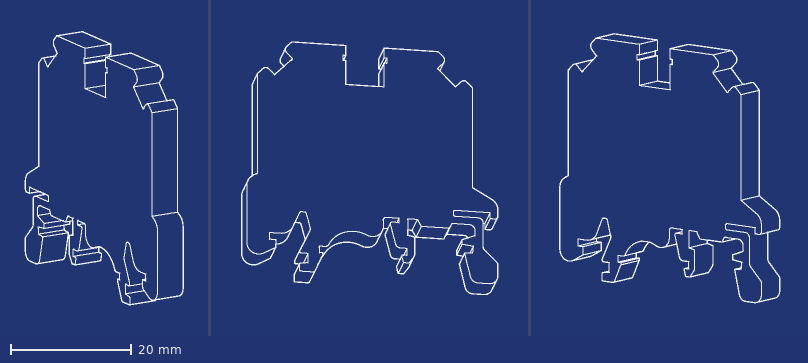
import cadquery as cq
import math

LENGTH = 42.5
HEIGHT = 41.0
THICKNESS = 5.0

BODY_WIDTH = 36.42
BODY_LEFT = 4.3
BODY_RIGHT = BODY_LEFT + BODY_WIDTH
BODY_CENTRE = BODY_LEFT + BODY_WIDTH / 2
SHOULDER_Z = 17.05
SHOULDER_SLOPE = math.tan(math.radians(30))
SHOULDER_ROUND = 2.05

RAIL_ROOF_Z = 10.65
LATCH_NOTCH_Z = 5.35

SLOT_FLOOR_Z = 11.7
ARM_LEFT = 2.5
LATCH_BAY_RIGHT = 19.4


def head_half():
    """Left half of the head, from the body wall to the middle slot; every slope is at 45 degrees."""
    wall_top = 34.95
    ear_run = 1.45
    ear_round = 0.65
    groove_flank = 3.05
    beak_run = 1.57
    beak_round = 0.85
    slot_half_width = 3.25
    slot_depth = 6.95
    nick_top = HEIGHT - 1.8
    nick_height = 0.9
    nick_depth = 0.45

    ear_x = BODY_LEFT + ear_run
    groove_x = ear_x + ear_run
    flank_top_x = groove_x + groove_flank
    flank_top_z = wall_top + groove_flank
    beak_x = flank_top_x - beak_run
    beak_z = flank_top_z + beak_run
    slot_x = BODY_CENTRE - slot_half_width
    nick_x = slot_x - nick_depth
    nick_bottom = nick_top - nick_height
    return [
        (BODY_LEFT, wall_top, 0),
        (ear_x, wall_top + ear_run, ear_round),
        (groove_x, wall_top, 0),
        (flank_top_x, flank_top_z, 0),
        (beak_x, beak_z, beak_round),
        (beak_x + HEIGHT - beak_z, HEIGHT, 0),
        (slot_x, HEIGHT, 0),
        (slot_x, nick_top, 0),
        (nick_x, nick_top, 0),
        (nick_x, nick_bottom, 0),
        (slot_x, nick_bottom, 0),
        (slot_x, HEIGHT - slot_depth, 0),
    ]


def mirrored(corners):
    """The corners reflected about the body centre line, in reverse order."""
    return [(2 * BODY_CENTRE - x, z, radius) for x, z, radius in reversed(corners)]


def right_hook():
    """Right shoulder, end wall and the hook that ends in an inward-facing lip."""
    toe_corner_z = 1.2
    toe_round = 1.9
    lip_x = 37.6
    lip_bottom = 3.95
    notch_x = 38.65
    notch_roof = 6.55
    gap_foot_x = 35.28
    gap_foot_round = 2.4

    shoulder_drop = (LENGTH - BODY_RIGHT) * SHOULDER_SLOPE
    return [
        (BODY_RIGHT, SHOULDER_Z, 0),
        (LENGTH, SHOULDER_Z - shoulder_drop, SHOULDER_ROUND),
        (LENGTH, toe_corner_z, toe_round),
        (lip_x, lip_bottom, 0),
        (lip_x, LATCH_NOTCH_Z, 0),
        (notch_x, LATCH_NOTCH_Z, 0),
        (notch_x, notch_roof, 0),
        (gap_foot_x, notch_roof, gap_foot_round),
    ]


def right_foot():
    """Tapered gap beside the right hook and the foot with a notch on each side."""
    gap_top_left = 32.5
    gap_top_right = 33.5
    gap_round = 0.3
    waist = (31.7, 7.6)
    waist_round = 1.05
    spur_x = 33.55
    spur_top = 3.8
    spur_bottom = 3.27
    spur_round = 0.15
    outer_notch_x = 32.15
    outer_notch_bottom = 1.6
    sole_right = 33.6
    sole_left = 31.05
    sole_right_round = 0.2
    sole_left_round = 0.42
    toe_top = 1.4
    inner_lip_x = 29.62
    inner_lip_bottom = 3.2
    inner_notch_x = 30.2
    inner_notch_bottom = 3.55
    inner_notch_top = 4.7
    arch_end_x = 28.85
    arch_end_round = 0.65
    return [
        (gap_top_right, RAIL_ROOF_Z, gap_round),
        (gap_top_left, RAIL_ROOF_Z, gap_round),
        (*waist, waist_round),
        (spur_x, spur_top, spur_round),
        (spur_x, spur_bottom, spur_round),
        (outer_notch_x, spur_bottom, 0),
        (outer_notch_x, outer_notch_bottom, 0),
        (sole_right, toe_top, sole_right_round),
        (sole_right, 0, sole_right_round),
        (sole_left, 0, sole_left_round),
        (inner_lip_x, inner_lip_bottom, 0),
        (inner_lip_x, inner_notch_bottom, 0),
        (inner_notch_x, inner_notch_bottom, 0),
        (inner_notch_x, inner_notch_top, 0),
        (arch_end_x, inner_notch_top, arch_end_round),
    ]


def arch_and_bulge():
    """Wide arch flowing in an S-curve into the round bulge beside the latch bay."""
    arch_corner = (26.55, 9.22)
    arch_round = 4.8
    bulge_corner_z = 6.0
    bulge_round = 1.95
    bay_round = 0.42
    return [
        (*arch_corner, arch_round),
        (LATCH_BAY_RIGHT, bulge_corner_z, bulge_round),
        (LATCH_BAY_RIGHT, RAIL_ROOF_Z, bay_round),
    ]


def middle_latch():
    """Hanging latch with a swept right side, a small hook at its tip and a stepped stem."""
    stem_left = 15.25
    stem_right = 16.75
    head_top = 9.9
    head_right = 18.3
    head_round = 0.35
    flank_bottom_x = 17.15
    flank_round = 0.85
    notch_x = 15.4
    hook_top = 4.12
    hook_right = 16.35
    hook_round = 0.2
    tip_z = 2.75
    tip_right = 16.0
    tip_left = 15.05
    tip_round = 0.2
    back_x = 14.05
    back_bottom = 4.15
    back_bottom_round = 0.85
    back_top = 7.5
    back_top_round = 0.13
    stem_step_z = 7.75
    return [
        (stem_right, RAIL_ROOF_Z, 0),
        (stem_right, head_top, 0),
        (head_right, head_top, head_round),
        (flank_bottom_x, LATCH_NOTCH_Z, flank_round),
        (notch_x, LATCH_NOTCH_Z, 0),
        (notch_x, hook_top, 0),
        (hook_right, hook_top, hook_round),
        (tip_right, tip_z, 0),
        (tip_left, tip_z, tip_round),
        (back_x, back_bottom, back_bottom_round),
        (back_x, back_top, back_top_round),
        (stem_left, stem_step_z, 0),
        (stem_left, RAIL_ROOF_Z, 0),
    ]


def left_foot():
    """Raised pad, then the springy arm with its tooth and the large left foot."""
    pad_z = 9.48
    pad_right_top = 13.65
    pad_right = 12.95
    pad_left = 8.3
    pad_left_top = 7.78
    arm_roof = 10.35
    arm_right = 3.85
    arm_inner_round = 1.0
    tooth_root_top = 8.45
    tooth_x = 6.08
    tooth_top = 7.6
    tooth_bottom = 6.75
    notch_top = (4.15, 6.55)
    notch_bottom = (4.3, 5.35)
    foot_shelf = (5.65, 5.2)
    sole_right = 4.4
    sole_right_round = 1.35
    sole_left_round = 1.5
    heel_top = 3.75
    heel_round = 0.42
    ankle_z = 6.25
    ankle_round = 0.85
    arm_outer_round = 0.85
    return [
        (pad_right_top, RAIL_ROOF_Z, 0),
        (pad_right, pad_z, 0),
        (pad_left, pad_z, 0),
        (pad_left_top, arm_roof, 0),
        (arm_right, arm_roof, arm_inner_round),
        (arm_right, tooth_root_top, 0),
        (tooth_x, tooth_top, 0),
        (tooth_x, tooth_bottom, 0),
        (*notch_top, 0),
        (*notch_bottom, 0),
        (*foot_shelf, 0),
        (sole_right, 0, sole_right_round),
        (0, 0, sole_left_round),
        (0, heel_top, heel_round),
        (ARM_LEFT, ankle_z, ankle_round),
        (ARM_LEFT, SLOT_FLOOR_Z, arm_outer_round),
    ]


def left_shoulder():
    """Thin slot above the arm and the drooping left shoulder."""
    slot_end = 7.52
    slot_roof = 12.75
    slot_round = 0.3
    lip_right = 1.3
    lip_round = 0.5

    shoulder_drop = BODY_LEFT * SHOULDER_SLOPE
    return [
        (slot_end, SLOT_FLOOR_Z, slot_round),
        (slot_end, slot_roof, slot_round),
        (lip_right, slot_roof, 0),
        (lip_right, SLOT_FLOOR_Z, 0),
        (0, SLOT_FLOOR_Z, lip_round),
        (0, SHOULDER_Z - shoulder_drop, SHOULDER_ROUND),
        (BODY_LEFT, SHOULDER_Z, 0),
    ]


def rounded_corner(before, corner, after):
    """Start, middle and end of the arc that rounds a corner; a sharp corner gives its one point."""
    x, z, radius = corner
    point = cq.Vector(x, z)
    if radius == 0:
        return [point]
    towards_before = (cq.Vector(before[0], before[1]) - point).normalized()
    towards_after = (cq.Vector(after[0], after[1]) - point).normalized()
    half_angle = towards_before.getAngle(towards_after) / 2
    tangent_length = radius / math.tan(half_angle)
    bisector = (towards_before + towards_after).normalized()
    middle_distance = radius / math.sin(half_angle) - radius
    return [
        point + towards_before * tangent_length,
        point + bisector * middle_distance,
        point + towards_after * tangent_length,
    ]


def extruded_profile(corners):
    """Closed outline of (x, z, radius) corners, extruded to the full thickness."""
    count = len(corners)
    bends = [
        rounded_corner(corners[i - 1], corners[i], corners[(i + 1) % count])
        for i in range(count)
    ]
    outline = cq.Workplane("XZ").moveTo(bends[0][0].x, bends[0][0].y)
    for i, bend in enumerate(bends):
        if i > 0:
            outline = outline.lineTo(bend[0].x, bend[0].y)
        if len(bend) > 1:
            outline = outline.threePointArc(bend[1].toTuple()[:2], bend[2].toTuple()[:2])
    return outline.close().extrude(THICKNESS / 2, both=True)


left_head = head_half()
result = extruded_profile(
    left_head
    + mirrored(left_head)
    + right_hook()
    + right_foot()
    + arch_and_bulge()
    + middle_latch()
    + left_foot()
    + left_shoulder()
)